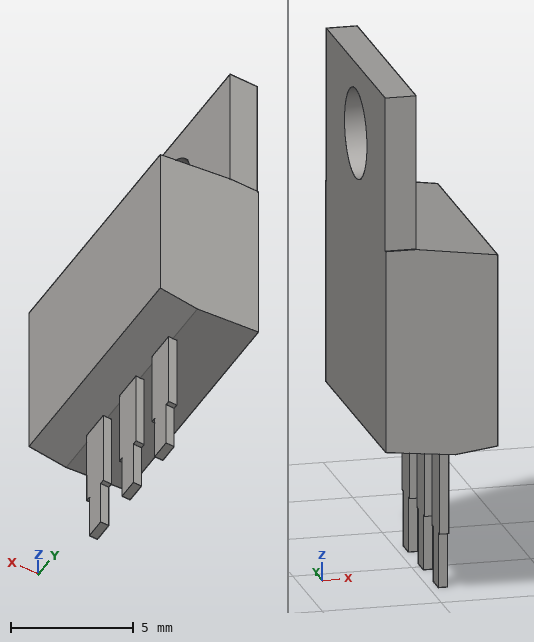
import cadquery as cq

total_height = 21.7
body_width = 10.2
body_depth = 4.7

tab_width = 10.0
tab_thickness = 1.3
hole_diameter = 3.8
hole_below_top = 3.0

body_top_back = 15.17
body_top_front = 14.7
body_bottom_back = 6.6
body_bottom_ridge = 6.3
body_bottom_front = 6.53

lead_count = 3
lead_pitch = 2.54
lead_thickness = 0.4
lead_center_x = 2.93
lead_wide_width = 1.3
lead_tip_width = 0.9
lead_tip_length = 2.35
lead_embed = 0.43


def block(depth, width, bottom, top):
    """Box centred on X and Y that spans the given Z range."""
    height = top - bottom
    return cq.Workplane("XY").workplane(offset=bottom).box(depth, width, height, centered=(True, True, False))


def make_body():
    profile = [
        (0, body_bottom_back),
        (0, body_top_back),
        (tab_thickness, body_top_back),
        (body_depth, body_top_front),
        (body_depth, body_bottom_front),
        (lead_center_x, body_bottom_ridge),
    ]
    return cq.Workplane("XZ").polyline(profile).close().extrude(body_width / 2, both=True)


def make_tab():
    plate = block(tab_thickness, tab_width, body_top_back, total_height).translate((tab_thickness / 2, 0, 0))
    hole = (
        cq.Workplane("YZ")
        .center(0, total_height - hole_below_top)
        .circle(hole_diameter / 2)
        .extrude(tab_thickness)
    )
    return plate.cut(hole)


def make_lead(center_y):
    tip = block(lead_thickness, lead_tip_width, 0, lead_tip_length)
    shank = block(lead_thickness, lead_wide_width, lead_tip_length, body_bottom_ridge + lead_embed)
    return tip.union(shank).translate((lead_center_x, center_y, 0))


result = make_body().union(make_tab())
for index in range(lead_count):
    lead_y = (index - (lead_count - 1) / 2) * lead_pitch
    result = result.union(make_lead(lead_y))